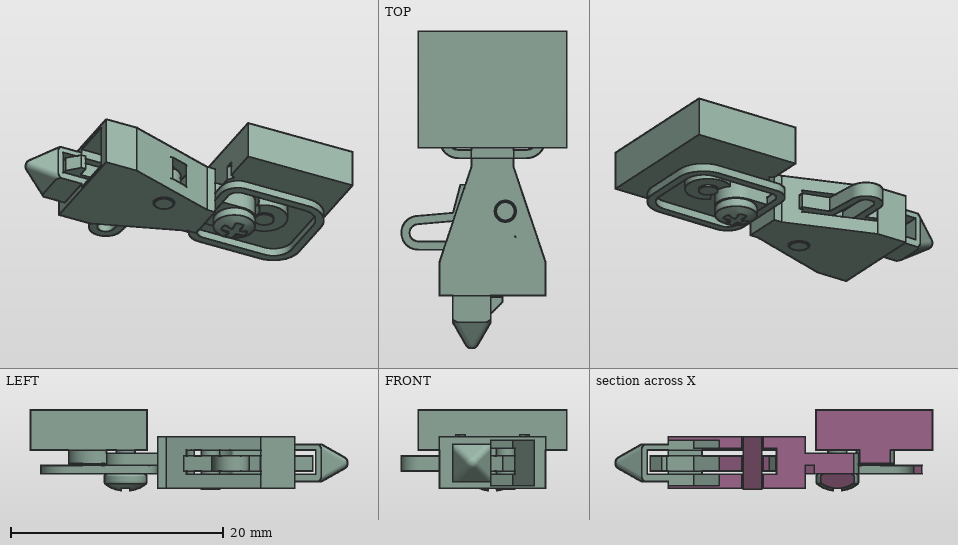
import cadquery as cq
import math


def prism(outline, bottom, top):
    """Extrude a closed XY outline between two heights."""
    return outline.extrude(top - bottom).translate((0, 0, bottom))


def block(x_range, y_range, z_range):
    """Axis-aligned box given by its limits."""
    sizes = [high - low for low, high in (x_range, y_range, z_range)]
    return cq.Workplane("XY").box(*sizes, centered=False).translate((x_range[0], y_range[0], z_range[0]))


def cylinder(center, radius, bottom, top):
    """Vertical round bar between two heights."""
    return prism(cq.Workplane("XY").center(*center).circle(radius), bottom, top)


housing_width = 10.0
housing_height = 4.88
housing_length = 12.95
straight_length = 3.2
neck_width = 4.0
neck_start = 12.12

tip_width = 3.6
tip_height = 3.52
tip_right = -0.15
tip_left = tip_right - tip_width
tip_middle_x = (tip_left + tip_right) / 2
tip_middle_z = 2.4
tip_shoulder = -2.5
taper_angle = 30
tip_rounding = 0.63

socket_width = 4.1
socket_height = 4.26
socket_straight_depth = 2.43

slot_bottom = 1.35
slot_top = 3.6
raised_slot_top = 3.78
slot_front = -1.95
slot_back = 10.2
pivot = (1.21, 7.96)
pivot_pocket_radius = 2.26
socket_edge_rounding = 0.3
pivot_hole_radius = 1.0
pivot_pin_radius = 0.875
pivot_pin_projection = 0.1

tang_bottom = 1.36
tang_top = 3.33
tang_width = 3.98
wire_size = 0.8
wire_top = tang_bottom + wire_size
screw_center = (0, 15.96)
screw_hole_radius = 1.1

side_slope = (housing_width - neck_width) / 2 / (neck_start - straight_length)


def side_x(y):
    """Distance of the slanted housing side from the mid plane."""
    return housing_width / 2 - side_slope * (y - straight_length)


socket_right = tip_right + socket_width
socket_apex_x = tip_right + socket_width / 2
socket_depth = socket_straight_depth + socket_width / 2 / math.tan(math.radians(taper_angle))


def make_tip():
    tolerance = 1e-6
    taper_length = tip_width / 2 / math.tan(math.radians(taper_angle))
    apex = cq.Vector(tip_middle_x, tip_shoulder - taper_length, tip_middle_z)
    low = tip_middle_z - tip_height / 2
    high = tip_middle_z + tip_height / 2
    shank = block((tip_left, tip_right), (tip_shoulder, straight_length), (low, high))
    corners = [
        cq.Vector(x, tip_shoulder, z)
        for x, z in ((tip_left, low), (tip_right, low), (tip_right, high), (tip_left, high))
    ]
    faces = [cq.Face.makeFromWires(cq.Wire.makePolygon(corners, close=True))]
    for index, corner in enumerate(corners):
        triangle = cq.Wire.makePolygon([corner, corners[(index + 1) % 4], apex], close=True)
        faces.append(cq.Face.makeFromWires(triangle))
    point = cq.Solid.makeSolid(cq.Shell.makeShell(faces))
    tip = shank.union(cq.Workplane(point))
    ridges = [
        edge for edge in tip.edges().vals()
        if min((vertex.Center() - apex).Length for vertex in edge.Vertices()) < tolerance
    ]
    return cq.Workplane(tip.val().fillet(tip_rounding, ridges))


def make_slot():
    slot = block((tip_left, tip_right), (slot_front, straight_length), (slot_bottom, slot_top))
    slot = slot.union(
        block((-housing_width, pivot[0]), (straight_length, slot_back), (slot_bottom, slot_top))
    )
    slot = slot.union(
        block((tip_right, pivot[0]), (socket_straight_depth, slot_back), (slot_bottom, raised_slot_top))
    )
    slot = slot.union(
        block(
            (tip_right, socket_apex_x),
            (socket_straight_depth, pivot[1]),
            (slot_bottom, raised_slot_top),
        )
    )
    return slot.union(cylinder(pivot, pivot_pocket_radius, slot_bottom, raised_slot_top))


def make_housing():
    half = housing_width / 2
    neck = neck_width / 2
    right_side = [(half, 0), (half, straight_length), (neck, neck_start), (neck, housing_length)]
    left_side = [(-x, y) for x, y in reversed(right_side)]
    body = prism(cq.Workplane("XY").polyline(right_side + left_side).close(), 0, housing_height)

    tang_sides = (-tang_width / 2, tang_width / 2)
    tang = block(tang_sides, (neck_start, screw_center[1]), (tang_bottom, tang_top))
    tang = tang.union(cylinder(screw_center, tang_width / 2, tang_bottom, tang_top))

    socket = prism(
        cq.Workplane("XY")
        .polyline([
            (tip_right, 0),
            (socket_right, 0),
            (socket_right, socket_straight_depth),
            (socket_apex_x, socket_depth),
            (tip_right, socket_straight_depth),
        ])
        .close(),
        tip_middle_z - socket_height / 2,
        tip_middle_z + socket_height / 2,
    )
    wire_groove = block(
        tang_sides, (housing_length, housing_length + wire_size), (tang_bottom, wire_top)
    )
    housing = (
        body.union(make_tip())
        .union(tang)
        .cut(socket)
        .cut(make_slot())
        .cut(cylinder(pivot, pivot_hole_radius, 0, housing_height))
        .cut(cylinder(screw_center, screw_hole_radius, tang_bottom, tang_top))
        .cut(wire_groove)
    )
    edge_point = (socket_apex_x, socket_depth, (slot_bottom + raised_slot_top) / 2)
    return housing.edges("|Z").edges(cq.NearestToPointSelector(edge_point)).fillet(socket_edge_rounding)


lever_bottom = 1.62
lever_top = 3.06
lever_front = 3.25
lever_back = 10.15
arm_width = 2.15
hook_reach = 1.1
hook_back = -0.14
hook_corner = -0.59
loop_center = (-7.0, 5.93)
loop_radius = 1.6
loop_thickness = 0.8
loop_angle = math.radians(5)
loop_gap_end = -2.0
thumb_corner_x = -3.73
thumb_top = (-3.03, 10.47)


def polar_point(center, radius, angle):
    """Point on a circle at an angle from +X."""
    return (
        center[0] + radius * math.cos(angle),
        center[1] + radius * math.sin(angle),
    )


def upper_arm_y(radius, x):
    """Y of the upper arm's outer or inner edge, tangent to the loop."""
    tangent_x, tangent_y = polar_point(loop_center, radius, math.pi / 2 + loop_angle)
    return tangent_y + (x - tangent_x) * math.tan(loop_angle)


def make_lever():
    inner_radius = loop_radius - loop_thickness
    loop_bottom = loop_center[1] - loop_radius
    gap_bottom = loop_center[1] - inner_radius
    taper = math.radians(taper_angle)
    wall_to_pivot_x = pivot[0] - tip_right
    wall_to_pivot_y = pivot[1] - socket_straight_depth
    hub_radius = wall_to_pivot_y * math.sin(taper) - wall_to_pivot_x * math.cos(taper)
    hub_front = polar_point(pivot, hub_radius, -taper)
    hub_side = polar_point(pivot, hub_radius, 0)
    hub_back = polar_point(pivot, hub_radius, math.pi / 2)
    body = (
        cq.Workplane("XY")
        .moveTo(tip_right - arm_width, hook_corner - hook_reach)
        .lineTo(tip_right, hook_corner - hook_reach)
        .lineTo(tip_right + hook_reach, hook_corner)
        .lineTo(tip_right + hook_reach, hook_back)
        .lineTo(tip_right, hook_back)
        .lineTo(tip_right, socket_straight_depth)
        .lineTo(*hub_front)
        .threePointArc(hub_side, hub_back)
        .lineTo(-side_x(lever_back), lever_back)
        .lineTo(-side_x(thumb_top[1]), thumb_top[1])
        .lineTo(*thumb_top)
        .lineTo(thumb_corner_x, upper_arm_y(loop_radius, thumb_corner_x))
        .lineTo(*polar_point(loop_center, loop_radius, math.pi / 2 + loop_angle))
        .threePointArc((loop_center[0] - loop_radius, loop_center[1]), (loop_center[0], loop_bottom))
        .lineTo(-side_x(loop_bottom), loop_bottom)
        .lineTo(-side_x(lever_front), lever_front)
        .lineTo(tip_right - arm_width, lever_front)
        .close()
    )
    gap = (
        cq.Workplane("XY")
        .moveTo(loop_gap_end, gap_bottom)
        .lineTo(loop_gap_end, upper_arm_y(inner_radius, loop_gap_end))
        .lineTo(*polar_point(loop_center, inner_radius, math.pi / 2 + loop_angle))
        .threePointArc((loop_center[0] - inner_radius, loop_center[1]), (loop_center[0], gap_bottom))
        .close()
    )
    return (
        prism(body, lever_bottom, lever_top)
        .cut(prism(gap, lever_bottom, lever_top))
        .cut(cylinder(pivot, pivot_hole_radius, lever_bottom, lever_top))
    )


def make_pivot_pin():
    return cylinder(pivot, pivot_pin_radius, -pivot_pin_projection, housing_height)


cap_width = 14.0
cap_length = 11.0
cap_height = 3.8
cap_front = 13.94
cap_bottom = 3.6
boss_center = (0, 19.12)
boss_radius = 2.2
boss_bottom = 2.34
boss_clearance_radius = 2.4
boss_horn_rounding = 0.15
stud_radius = 0.9
notch_inner = 2.57
notch_outer = 3.47
notch_deepest = 3.2
notch_depth = 0.42
notch_top = 5.05
screw_radius = 0.9
screw_end = 5.1


def make_cap():
    half = cap_width / 2
    cap = block((-half, half), (cap_front, cap_front + cap_length), (cap_bottom, cap_bottom + cap_height))
    boss = cylinder(boss_center, boss_radius, boss_bottom, cap_bottom)
    boss = boss.cut(cylinder(screw_center, boss_clearance_radius, boss_bottom, cap_bottom))
    boss = boss.edges("|Z").edges("<Y").fillet(boss_horn_rounding)
    stud = cylinder(boss_center, stud_radius, wire_top, boss_bottom)
    cap = cap.union(boss).union(stud)
    for side in (-1, 1):
        notch = cq.Workplane("XY").polyline([
            (side * notch_inner, cap_front),
            (side * notch_deepest, cap_front + notch_depth),
            (side * notch_outer, cap_front),
        ]).close()
        cap = cap.cut(prism(notch, cap_bottom, notch_top))
    return cap.cut(cylinder(screw_center, screw_radius, cap_bottom, screw_end))


wire_half_width = 5.0
wire_front = housing_length
wire_back = 23.94
wire_front_radius = 1.8
wire_back_radius = 2.7


def rounded_plate(inset):
    """Rounded plate with the loop's outline moved inwards by inset."""
    sides = (-wire_half_width + inset, wire_half_width - inset)
    plate = block(sides, (wire_front + inset, wire_back - inset), (tang_bottom, wire_top))
    plate = plate.edges("|Z and <Y").fillet(wire_front_radius - inset)
    return plate.edges("|Z and >Y").fillet(wire_back_radius - inset)


def make_wire_loop():
    return rounded_plate(0).cut(rounded_plate(wire_size))


head_radius = 2.0
head_top = tang_bottom
head_rounding = 0.25
dome_start = (1.96, 0.45)
dome_middle = (1.25, 0.0)
dome_bottom = -0.26
rim_start = 0.63
drive_width = 0.8
drive_floor = 0.0


def make_screw():
    profile = (
        cq.Workplane("XZ")
        .moveTo(0, dome_bottom)
        .threePointArc(dome_middle, dome_start)
        .lineTo(head_radius, rim_start)
        .lineTo(head_radius, head_top - head_rounding)
        .radiusArc((head_radius - head_rounding, head_top), -head_rounding)
        .lineTo(screw_radius, head_top)
        .lineTo(screw_radius, screw_end)
        .lineTo(0, screw_end)
        .close()
    )
    screw = profile.revolve(360, (0, 0, 0), (0, 1, 0))
    narrow = (-drive_width / 2, drive_width / 2)
    wide = (-head_radius, head_radius)
    for x_range, y_range in ((narrow, wide), (wide, narrow)):
        screw = screw.cut(block(x_range, y_range, (2 * dome_bottom, drive_floor)))
    return screw.translate((*screw_center, 0))


housing = make_housing()
lever = make_lever()
pivot_pin = make_pivot_pin()
cap = make_cap()
wire_loop = make_wire_loop()
screw = make_screw()

result = cq.Compound.makeCompound([
    housing.solids().val(),
    lever.solids().val(),
    pivot_pin.solids().val(),
    cap.solids().val(),
    wire_loop.solids().val(),
    screw.solids().val(),
])